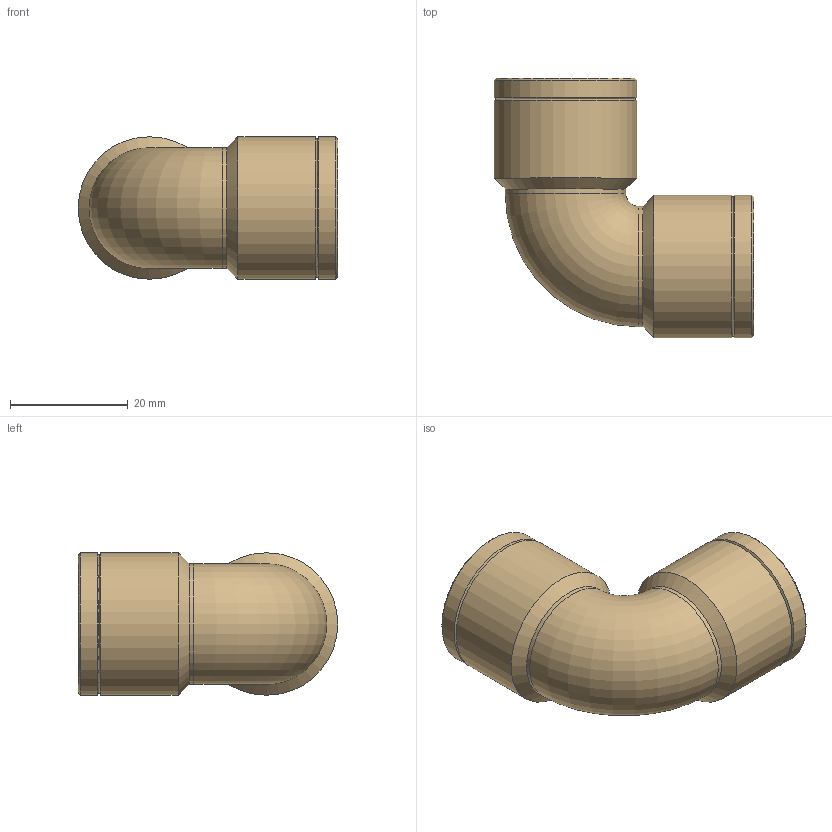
import cadquery as cq

tube_diameter = 20.49
socket_diameter = 24.22
socket_end = 32.0
bend_radius = 12.42
neck_length = 0.75
groove_width = 0.5
groove_depth = 0.5
rim_length = 3.28
end_chamfer = 0.37

tube_radius = tube_diameter / 2
socket_radius = socket_diameter / 2
shoulder_start = bend_radius + neck_length
shoulder_length = socket_radius - tube_radius
socket_start = shoulder_start + shoulder_length
groove_end = socket_end - rim_length
groove_start = groove_end - groove_width
groove_middle = groove_end - groove_width / 2
groove_bottom_radius = socket_radius - groove_depth


def make_bend():
    """Quarter torus from the start of the X leg to the start of the Y leg."""
    return (
        cq.Workplane("YZ", origin=(bend_radius, 0, 0))
        .circle(tube_radius)
        .revolve(90, (bend_radius, 0), (bend_radius, -1))
    )


def make_leg():
    """Straight leg along +X: neck, conical shoulder and socket with a V groove."""
    leg = (
        cq.Workplane("XY")
        .moveTo(bend_radius, 0)
        .lineTo(bend_radius, tube_radius)
        .lineTo(shoulder_start, tube_radius)
        .lineTo(socket_start, socket_radius)
        .lineTo(groove_start, socket_radius)
        .lineTo(groove_middle, groove_bottom_radius)
        .lineTo(groove_end, socket_radius)
        .lineTo(socket_end, socket_radius)
        .lineTo(socket_end, 0)
        .close()
        .revolve(360, (0, 0), (1, 0))
    )
    return leg.faces(">X").edges().chamfer(end_chamfer)


x_leg = make_leg()
y_leg = x_leg.rotate((0, 0, 0), (0, 0, 1), 90)

result = make_bend().union(x_leg).union(y_leg)